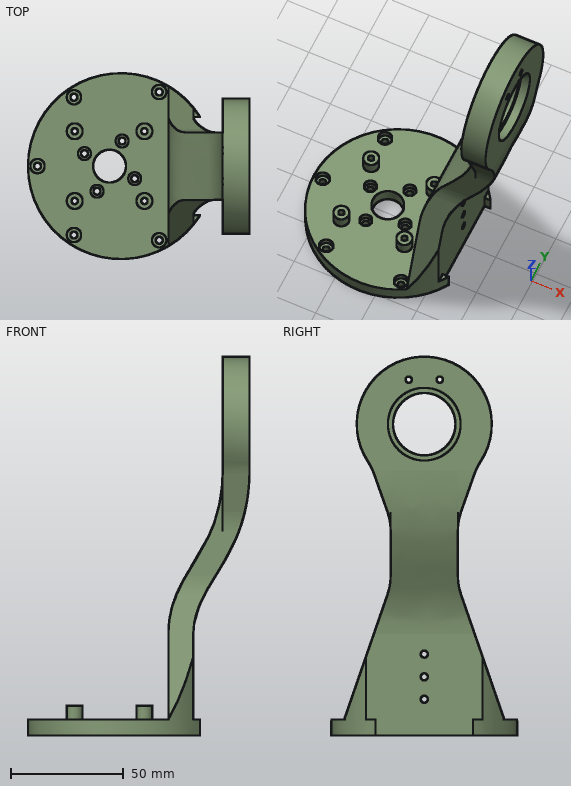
import cadquery as cq
import math

base_diameter = 82.5
base_radius = base_diameter / 2
base_thickness = 7.2
centre_hole_x = -5.0
centre_hole_radius = 7.2

screw_counterbore_depth = 3.0
rim_hole_radii = (1.5, 3.2)
rim_hole_circle = 37.0
rim_hole_angles = (62.7, 124.3, 180, -124.3, -62.7)
inner_hole_radii = (1.5, 2.9)
inner_hole_circle = 12.5
inner_hole_first_angle = 63.5
inner_hole_count = 4

post_spacing = 31.0
post_radius = 3.5
post_bore_radius = 1.3
post_top = 13.3

foot_front_x = 21.0
foot_back_x = 32.1
bend_start_z = 45.0
bend_end_z = 117.7
front_lower_pull = 28.5
front_upper_pull = 37.8
back_lower_pull = 22.7
back_upper_pull = 39.5
arm_half_width = 15.0
foot_slope = 19.1
foot_corner_z = 66.5
waist_fillet = 25.0
cable_hole_radius = 1.5
cable_hole_heights = (16.1, 26.0, 36.1)

slot_half_width = 21.7

overall_length = 98.3
head_back_x = overall_length - base_radius
head_thickness = 12.0
head_diameter = 60.0
head_radius = head_diameter / 2
head_top_z = 168.1
head_centre_z = head_top_z - head_radius
neck_slope = 19.5
neck_corner_z = 95.3
neck_bottom_z = 89.1
shoulder_fillet = 25.0
bore_radius = 13.8
bearing_seat_radius = 16.1
bearing_seat_depth = 4.4
head_hole_radius = 1.3
head_hole_y = 6.9
head_hole_z = 157.8

head_front_x = head_back_x - head_thickness
foot_thickness = foot_back_x - foot_front_x


def polar(radius, degrees):
    angle = math.radians(degrees)
    return radius * math.cos(angle), radius * math.sin(angle)


def bend_curve(start_x, end_x, start_pull, end_pull):
    """Control points of a cubic S-curve, vertical at both ends; a longer pull bends more gently."""
    return [(start_x, bend_start_z), (start_x, bend_start_z + start_pull),
            (end_x, bend_end_z - end_pull), (end_x, bend_end_z)]


front_bend = bend_curve(foot_front_x, head_front_x, front_lower_pull, front_upper_pull)
back_bend = bend_curve(foot_back_x, head_back_x, back_lower_pull, back_upper_pull)


def side_plane():
    """XZ sketch plane lying just beside the part, on its +Y side."""
    return cq.Workplane("XZ", origin=(0, base_radius, 0))


def extrude_across(sketch):
    """Close a side_plane sketch and extrude it over the full width of the part."""
    return sketch.close().extrude(2 * base_radius)


def make_base():
    disc = cq.Workplane("XY").circle(base_radius).extrude(base_thickness)
    slot = (cq.Workplane("XY")
            .box(base_radius, 2 * slot_half_width, base_thickness, centered=(False, True, False))
            .translate((foot_back_x, 0, 0)))
    return disc.cut(slot)


def make_flared_plate(level_z, corner_z, wide_z, slope):
    """Plate across Y, as wide as the arm from level_z to corner_z and flaring from there to wide_z."""
    wide_half = arm_half_width + abs(wide_z - corner_z) * math.tan(math.radians(slope))
    plate = (cq.Workplane("YZ")
             .polyline([(-arm_half_width, level_z), (-arm_half_width, corner_z), (-wide_half, wide_z),
                        (wide_half, wide_z), (arm_half_width, corner_z), (arm_half_width, level_z)])
             .close().extrude(head_back_x))
    return fillet_pair(plate, arm_half_width, corner_z, waist_fillet)


def fillet_pair(solid, half_width, height, radius):
    """Fillet the two edges along X at Y = +-half_width on the given height."""
    for side in (-1, 1):
        edge = cq.selectors.NearestToPointSelector((head_back_x / 2, side * half_width, height))
        solid = solid.edges("|X").edges(edge).fillet(radius)
    return solid


def make_arm():
    profile = (side_plane().moveTo(foot_front_x, 0)
               .lineTo(*front_bend[0]).bezier(front_bend)
               .lineTo(*back_bend[-1]).bezier(back_bend[::-1])
               .lineTo(foot_back_x, 0))
    ribbon = extrude_across(profile)
    outline = make_flared_plate(bend_end_z, foot_corner_z, 0, foot_slope)

    rim = cq.Workplane("XY").circle(base_radius).extrude(bend_start_z)
    above_foot = (cq.Workplane("XY").workplane(offset=bend_start_z)
                  .rect(2 * head_back_x, 2 * base_radius).extrude(head_top_z))
    return ribbon.intersect(outline).intersect(rim.union(above_foot))


def make_head():
    slope = math.radians(neck_slope)
    neck_top_z = head_centre_z - head_radius * math.sin(slope)
    neck = make_flared_plate(neck_bottom_z, neck_corner_z, neck_top_z, neck_slope)
    disc = (cq.Workplane("YZ").center(0, head_centre_z)
            .circle(head_radius).extrude(head_back_x))
    head = neck.union(disc)

    flank_y = arm_half_width + (head_centre_z - neck_corner_z) * math.tan(slope)
    flank_distance = flank_y * math.cos(slope)
    crossing = -slope - math.acos(flank_distance / head_radius)
    crossing_y = head_radius * math.cos(crossing)
    crossing_z = head_centre_z + head_radius * math.sin(crossing)
    head = fillet_pair(head, crossing_y, crossing_z, shoulder_fillet)

    envelope = (side_plane().moveTo(head_front_x, bend_start_z)
                .lineTo(head_front_x, head_top_z).lineTo(head_back_x, head_top_z)
                .lineTo(*back_bend[-1]).bezier(back_bend[::-1]))
    return head.intersect(extrude_across(envelope))


def cut_stepped_holes(body, centres, radii):
    through_radius, counterbore_radius = radii
    through = (cq.Workplane("XY").pushPoints(centres)
               .circle(through_radius).extrude(base_thickness))
    counterbore = (cq.Workplane("XY").workplane(offset=base_thickness - screw_counterbore_depth)
                   .pushPoints(centres).circle(counterbore_radius).extrude(screw_counterbore_depth))
    return body.cut(through).cut(counterbore)


def cut_base_holes(body):
    rim_centres = [polar(rim_hole_circle, angle) for angle in rim_hole_angles]
    body = cut_stepped_holes(body, rim_centres, rim_hole_radii)

    inner_centres = []
    for index in range(inner_hole_count):
        x, y = polar(inner_hole_circle, inner_hole_first_angle + index * 360 / inner_hole_count)
        inner_centres.append((centre_hole_x + x, y))
    body = cut_stepped_holes(body, inner_centres, inner_hole_radii)

    centre_hole = (cq.Workplane("XY").center(centre_hole_x, 0)
                   .circle(centre_hole_radius).extrude(base_thickness))
    return body.cut(centre_hole)


def add_posts(body):
    def columns(radius):
        return (cq.Workplane("XY").center(centre_hole_x, 0)
                .rarray(post_spacing, post_spacing, 2, 2).circle(radius).extrude(post_top))

    return body.union(columns(post_radius)).cut(columns(post_bore_radius))


def bore_along_x(start_x, length, radius, centres):
    return (cq.Workplane("YZ").workplane(offset=start_x)
            .pushPoints(centres).circle(radius).extrude(length))


def cut_arm_holes(body):
    centres = [(0, height) for height in cable_hole_heights]
    return body.cut(bore_along_x(foot_front_x, foot_thickness, cable_hole_radius, centres))


def cut_head_holes(body):
    """Through bore with a bearing seat on each face, and two small holes above it."""
    centre = [(0, head_centre_z)]
    small_centres = [(-head_hole_y, head_hole_z), (head_hole_y, head_hole_z)]
    body = body.cut(bore_along_x(head_front_x, head_thickness, bore_radius, centre))
    for seat_x in (head_front_x, head_back_x - bearing_seat_depth):
        body = body.cut(bore_along_x(seat_x, bearing_seat_depth, bearing_seat_radius, centre))
    return body.cut(bore_along_x(head_front_x, head_thickness, head_hole_radius, small_centres))


bracket = make_base().union(make_arm()).union(make_head())
bracket = add_posts(bracket)
bracket = cut_base_holes(bracket)
bracket = cut_arm_holes(bracket)
result = cut_head_holes(bracket)